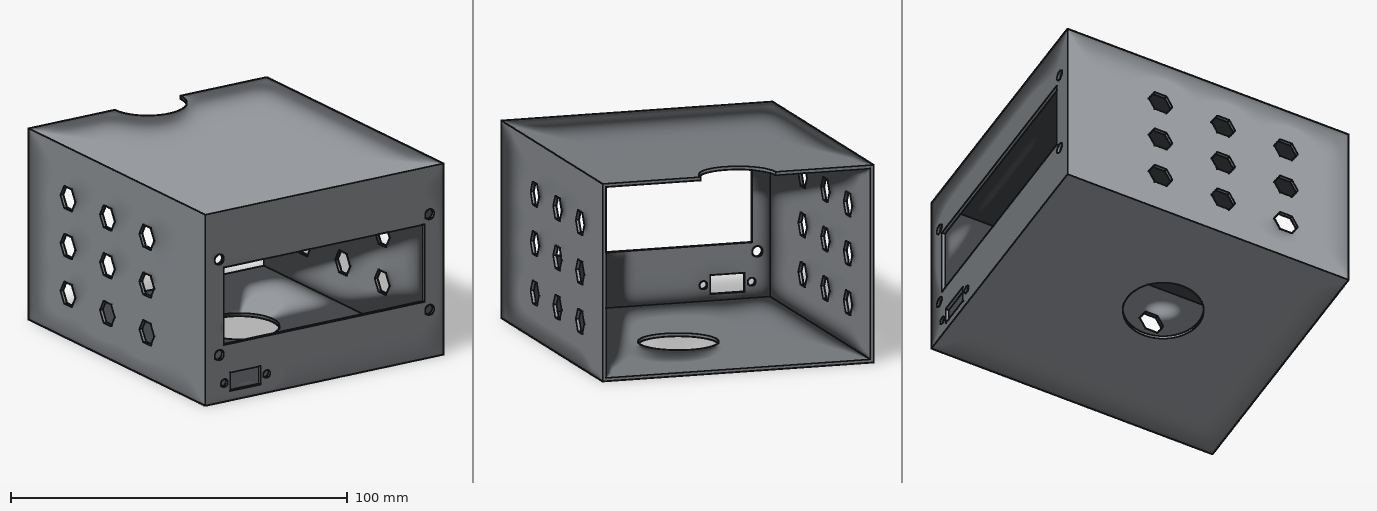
import cadquery as cq

length = 95.0
width = 84.9
height = 60.0
wall = 1.0

hexagon_sides = 6
vent_across_corners = 8.0
vent_columns = 3
vent_rows = 3
vent_pitch_x = 21.2
vent_pitch_z = 15.0
vent_middle_z = -wall

roof_notch_diameter = 23.4

floor_hole_diameter = 24.0
floor_hole_from_open_end = 42.2
floor_hole_y = 4.7

window_width = 71.6
window_height = 24.3
display_screw_diameter = 3.2
display_screw_spacing_y = 75.0
display_screw_spacing_z = 30.0

connector_y = -28.1
connector_z = -24.1
connector_width = 10.8
connector_height = 5.8
connector_screw_diameter = 2.5
connector_screw_spacing = 15.1

open_end_x = -length / 2
end_wall_x = (length - wall) / 2
roof_z = (height - wall) / 2
floor_z = -roof_z


def make_shell():
    """Four walls around the X axis plus an end wall on the +X side."""
    outer = cq.Workplane("XY").box(length, width, height)
    cavity = (
        cq.Workplane("XY")
        .box(length, width - 2 * wall, height - 2 * wall)
        .translate((-wall, 0, 0))
    )
    return outer.cut(cavity)


def make_vents():
    """Hexagonal prisms along Y, each opening both side walls."""
    first_x = open_end_x + vent_pitch_x
    first_z = vent_middle_z - vent_pitch_z * (vent_rows - 1) / 2
    centres = [
        (first_x + column * vent_pitch_x, first_z + row * vent_pitch_z)
        for column in range(vent_columns)
        for row in range(vent_rows)
    ]
    return (
        cq.Workplane("XZ")
        .pushPoints(centres)
        .polygon(hexagon_sides, vent_across_corners)
        .extrude(width, both=True)
    )


def make_vertical_cutter(diameter, x, y, z):
    """Upright cylinder through the roof or floor whose mid-thickness is at z."""
    return (
        cq.Workplane("XY", origin=(x, y, z))
        .circle(diameter / 2)
        .extrude(wall, both=True)
    )


def make_end_wall_cutter(y, z, opening_size, screw_diameter, screw_spacings):
    """Rectangular opening at (y, z) with a grid of screw holes around the same centre.

    A spacing of zero leaves a single row of holes in that direction.
    """
    plane = cq.Workplane("YZ", origin=(end_wall_x, y, z))
    spacing_y, spacing_z = screw_spacings
    centres = {
        (side * spacing_y / 2, level * spacing_z / 2)
        for side in (-1, 1)
        for level in (-1, 1)
    }
    opening = plane.rect(*opening_size).extrude(wall, both=True)
    screws = plane.pushPoints(list(centres)).circle(screw_diameter / 2).extrude(wall, both=True)
    return opening.union(screws)


roof_notch = make_vertical_cutter(roof_notch_diameter, open_end_x, 0, roof_z)
floor_hole = make_vertical_cutter(
    floor_hole_diameter, open_end_x + floor_hole_from_open_end, floor_hole_y, floor_z
)
display_cutter = make_end_wall_cutter(
    0,
    0,
    (window_width, window_height),
    display_screw_diameter,
    (display_screw_spacing_y, display_screw_spacing_z),
)
connector_cutter = make_end_wall_cutter(
    connector_y,
    connector_z,
    (connector_width, connector_height),
    connector_screw_diameter,
    (connector_screw_spacing, 0),
)

result = (
    make_shell()
    .cut(make_vents())
    .cut(roof_notch)
    .cut(floor_hole)
    .cut(display_cutter)
    .cut(connector_cutter)
)